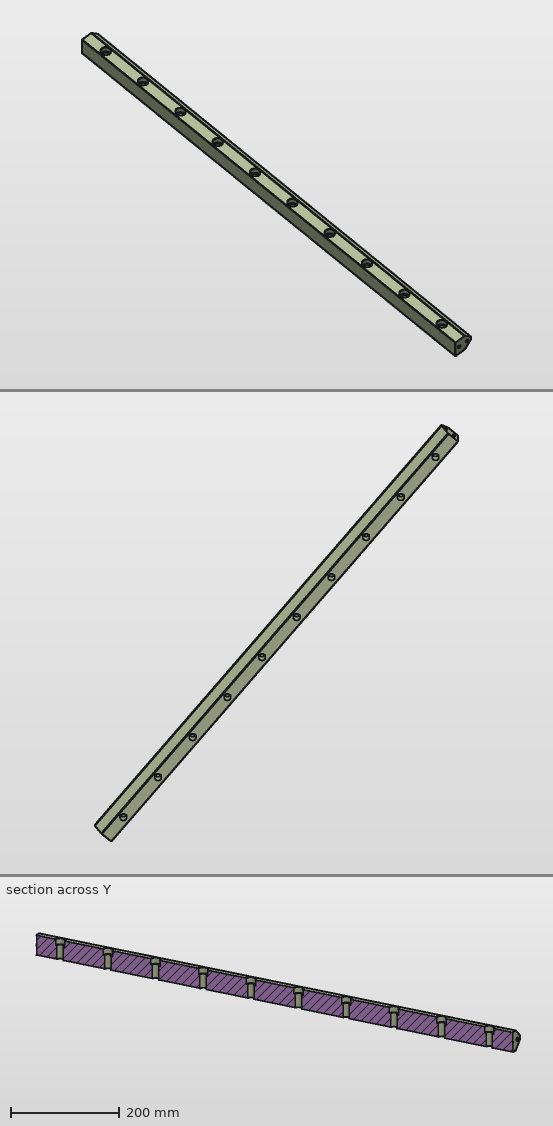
import cadquery as cq

length = 1000.0
width = 40.0
height = 40.0
nose_depth = 16.0
nose_tip_height = height - 2 * nose_depth

hole_count = 10
hole_pitch = length / hole_count
mounting_offset = 13.0
hole_diameter = 12.5
counterbore_diameter = 18.5
counterbore_depth = 12.0
counterbore_chamfer = 0.75

end_hole_diameter = 5.25
end_hole_spacing = 20.0
end_hole_depth = 15.0
end_hole_chamfer = 0.75

shoulder_chamfer = 1.0
back_chamfer = 0.75
end_chamfer = 1.0

back_y = -width / 2
tip_y = width / 2
shoulder_y = tip_y - nose_depth
mounting_y = back_y + mounting_offset


def make_body():
    """Bar with a square back and a blunt 45 degree nose, edges broken."""
    half_height = height / 2
    half_tip = nose_tip_height / 2
    outline = [
        (back_y, -half_height),
        (shoulder_y, -half_height),
        (tip_y, -half_tip),
        (tip_y, half_tip),
        (shoulder_y, half_height),
        (back_y, half_height),
    ]
    bar = cq.Workplane("YZ").polyline(outline).close().extrude(length / 2, both=True)
    bar = bar.edges("|X").edges(">Z or <Z").edges(">Y").chamfer(shoulder_chamfer)
    bar = bar.edges("|X and <Y").chamfer(back_chamfer)
    return bar.faces(">X").edges("<Y").chamfer(end_chamfer)


def chamfered_cutter(mouth, diameter, depth, chamfer):
    """Cylinder going inward from the mouth plane, with a conical lead-in at its open end."""
    radius = diameter / 2
    bore = mouth.circle(radius).extrude(-depth)
    lead_in = mouth.circle(radius + chamfer).workplane(offset=-chamfer).circle(radius).loft()
    return bore.union(lead_in)


def cut_mounting_holes(body):
    """Row of through holes, counterbored from the top face."""
    for i in range(hole_count):
        x = (i - (hole_count - 1) / 2) * hole_pitch
        mouth = cq.Workplane("XY", origin=(x, mounting_y, height / 2))
        body = body.cut(mouth.circle(hole_diameter / 2).extrude(-height))
        counterbore = chamfered_cutter(mouth, counterbore_diameter, counterbore_depth, counterbore_chamfer)
        body = body.cut(counterbore)
    return body


def cut_end_holes(body):
    """Pair of blind holes in each end face."""
    for side in (-1, 1):
        for y in (-end_hole_spacing / 2, end_hole_spacing / 2):
            mouth = cq.Workplane(cq.Plane((side * length / 2, y, 0), (0, 1, 0), (side, 0, 0)))
            hole = chamfered_cutter(mouth, end_hole_diameter, end_hole_depth, end_hole_chamfer)
            body = body.cut(hole)
    return body


result = cut_end_holes(cut_mounting_holes(make_body()))